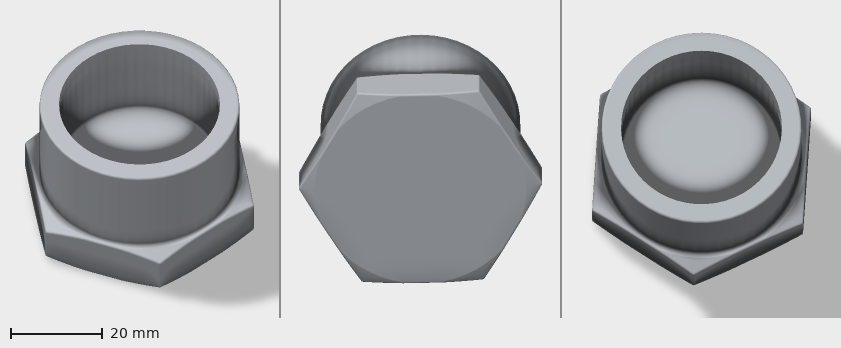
import cadquery as cq
import math

width_over_corners = 52.95
total_height = 32.0
hex_height = 10.5
spigot_diameter = 43.5
bore_diameter = 35.0
bore_depth = 20.5
edge_radius = 0.5
bevel_angle = 20.0
bevel_clearance = 0.01

hex_half_angle = math.radians(30)
flat_distance = (width_over_corners / 2 - edge_radius) * math.cos(hex_half_angle) + edge_radius
sharp_corner_radius = flat_distance / math.cos(hex_half_angle)

bevel_start_radius = flat_distance + bevel_clearance


def make_bevel_envelope():
    """Double cone that trims the hexagon corners, starting close to its inscribed circle."""
    outer_radius = sharp_corner_radius + edge_radius
    drop = (outer_radius - bevel_start_radius) * math.tan(math.radians(bevel_angle))
    profile = [
        (0, 0),
        (bevel_start_radius, 0),
        (outer_radius, drop),
        (outer_radius, hex_height - drop),
        (bevel_start_radius, hex_height),
        (0, hex_height),
    ]
    return cq.Workplane("XZ").polyline(profile).close().revolve(360, (0, 0), (0, 1))


def make_head():
    """Hexagon head with corners beveled on both end faces and every edge rounded."""
    return (
        cq.Workplane("XY")
        .polygon(6, 2 * sharp_corner_radius)
        .extrude(hex_height)
        .intersect(make_bevel_envelope())
        .edges()
        .fillet(edge_radius)
    )


def make_spigot():
    """Round spigot with a rounded top rim and a fillet where it meets the head."""
    radius = spigot_diameter / 2
    mid_head = hex_height / 2
    return (
        cq.Workplane("XZ")
        .moveTo(0, mid_head)
        .lineTo(radius + edge_radius, mid_head)
        .lineTo(radius + edge_radius, hex_height)
        .radiusArc((radius, hex_height + edge_radius), edge_radius)
        .lineTo(radius, total_height - edge_radius)
        .radiusArc((radius - edge_radius, total_height), -edge_radius)
        .lineTo(0, total_height)
        .close()
        .revolve(360, (0, 0), (0, 1))
    )


def make_bore():
    """Blind bore open at the top, with a rounded floor corner."""
    return (
        cq.Workplane("XY")
        .workplane(offset=total_height - bore_depth)
        .circle(bore_diameter / 2)
        .extrude(bore_depth)
        .faces("<Z")
        .edges()
        .fillet(edge_radius)
    )


result = make_head().union(make_spigot()).cut(make_bore())